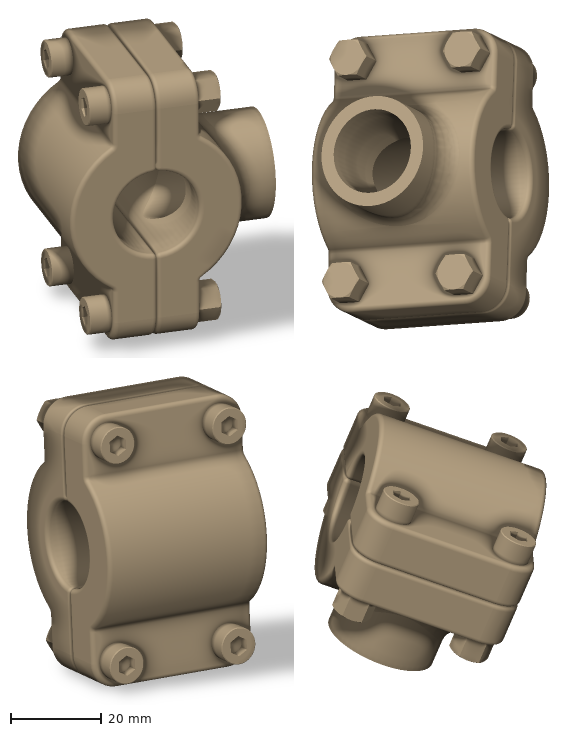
import cadquery as cq
import math

CLAMP_WIDTH = 40.0
BOLT_SPACING_Z = 50.6
CORNER_RADIUS = 6.0
FLANGE_THICKNESS = 10.0
BORE_DIAMETER = 20.0
EDGE_FILLET = 1.0

TUBE_DIAMETER = 25.0
TUBE_BORE_DIAMETER = 19.0
TUBE_END = 30.0
TUBE_ROOT_FILLET = 4.0

BOLT_DIAMETER = 5.0
BOLT_HOLE_DIAMETER = 5.5
HEAD_DIAMETER = 8.5
HEAD_HEIGHT = 5.0
HEAD_CHAMFER = 0.2
SOCKET_FLATS = 4.0
SOCKET_DEPTH = 2.5
SOCKET_TIP_ANGLE = 120

NUT_FLATS = 8.0
NUT_HEIGHT = 5.5
NUT_CHAMFER_ANGLE = 30

TURN_ABOUT_X = -0.57
TURN_ABOUT_Y = -2.3
TURN_ABOUT_Z = 1.7

BARREL_RADIUS = CLAMP_WIDTH / 2
FLANGE_HEIGHT = BOLT_SPACING_Z + 2 * CORNER_RADIUS
BOLT_SPACING_X = CLAMP_WIDTH - 2 * CORNER_RADIUS
HEX_CORNERS = 2 / math.sqrt(3)
HEX_HALF_STEP = 30
SELECT_MARGIN = 0.65
BOLT_POSITIONS = [
    (x, z)
    for x in (-BOLT_SPACING_X / 2, BOLT_SPACING_X / 2)
    for z in (-BOLT_SPACING_Z / 2, BOLT_SPACING_Z / 2)
]


def cylinder_along_y(diameter, start, end):
    return cq.Workplane("XZ", origin=(0, start, 0)).circle(diameter / 2).extrude(start - end)


def hex_prism_along_y(flats, start, end):
    """Hexagonal prism with two of its corners pointing along X."""
    return cq.Workplane("XZ", origin=(0, start, 0)).polygon(6, flats * HEX_CORNERS).extrude(start - end)


def cylinder_along_x(diameter):
    return cq.Workplane("YZ").circle(diameter / 2).extrude(CLAMP_WIDTH / 2, both=True)


def clamp_half():
    """Half clamp on the +Y side of the split plane, without bolt holes, its edges rounded."""
    flange = (
        cq.Workplane("XY")
        .box(CLAMP_WIDTH, FLANGE_THICKNESS, FLANGE_HEIGHT, centered=(True, False, True))
        .edges("|Y").fillet(CORNER_RADIUS)
    )
    split_side = cq.Workplane("XY").box(
        CLAMP_WIDTH, BARREL_RADIUS, CLAMP_WIDTH, centered=(True, False, True))
    half_barrel = cylinder_along_x(CLAMP_WIDTH).intersect(split_side)
    half = flange.union(half_barrel)

    root_lines = cq.selectors.BoxSelector(
        (-SELECT_MARGIN, FLANGE_THICKNESS - SELECT_MARGIN, -BARREL_RADIUS),
        (SELECT_MARGIN, FLANGE_THICKNESS + SELECT_MARGIN, BARREL_RADIUS),
    )
    half = half.edges(root_lines).fillet(EDGE_FILLET)

    half = half.cut(cylinder_along_x(BORE_DIAMETER))
    return half.faces("<X or >X or <Y").edges().fillet(EDGE_FILLET)


def add_tube(half):
    """Join the branch tube to the barrel and open it into the bore."""
    tube = cylinder_along_y(TUBE_DIAMETER, FLANGE_THICKNESS, TUBE_END)
    half = half.union(tube)
    tube_root = cq.selectors.BoxSelector(
        (-SELECT_MARGIN, FLANGE_THICKNESS, -SELECT_MARGIN),
        (SELECT_MARGIN, BARREL_RADIUS, SELECT_MARGIN),
    )
    half = half.edges(tube_root).fillet(TUBE_ROOT_FILLET)
    return half.cut(cylinder_along_y(TUBE_BORE_DIAMETER, 0, TUBE_END))


def drill_bolt_holes(half):
    hole = cylinder_along_y(BOLT_HOLE_DIAMETER, -FLANGE_THICKNESS, FLANGE_THICKNESS)
    for x, z in BOLT_POSITIONS:
        half = half.cut(hole.translate((x, 0, z)))
    return half


def socket_bolt():
    """Socket head cap screw along Y: head on the -Y flange face, shank end flush with the nut."""
    head_top = -FLANGE_THICKNESS - HEAD_HEIGHT
    head = cylinder_along_y(HEAD_DIAMETER, head_top, -FLANGE_THICKNESS)
    head = head.faces("<Y").edges().chamfer(HEAD_CHAMFER)
    shank = cylinder_along_y(BOLT_DIAMETER, -FLANGE_THICKNESS, FLANGE_THICKNESS + NUT_HEIGHT)

    socket_floor = head_top + SOCKET_DEPTH
    socket = hex_prism_along_y(SOCKET_FLATS, head_top, socket_floor)
    socket = socket.rotate((0, 0, 0), (0, 1, 0), HEX_HALF_STEP)
    tip_radius = SOCKET_FLATS / 2
    tip_depth = tip_radius / math.tan(math.radians(SOCKET_TIP_ANGLE / 2))
    tip = cq.Workplane(cq.Solid.makeCone(
        tip_radius, 0, tip_depth, cq.Vector(0, socket_floor, 0), cq.Vector(0, 1, 0)))
    return head.union(shank).cut(socket).cut(tip)


def hex_nut():
    """Nut on the +Y flange face, its outer corners bevelled by a cone."""
    outer_face = FLANGE_THICKNESS + NUT_HEIGHT
    nut = hex_prism_along_y(NUT_FLATS, FLANGE_THICKNESS, outer_face)
    corner_radius = NUT_FLATS * HEX_CORNERS / 2
    bevel_depth = (corner_radius - NUT_FLATS / 2) * math.tan(math.radians(NUT_CHAMFER_ANGLE))
    bevel = cylinder_along_y(2 * corner_radius, FLANGE_THICKNESS, outer_face)
    bevel = bevel.faces(">Y").edges().chamfer(bevel_depth, corner_radius - NUT_FLATS / 2)
    return nut.intersect(bevel).cut(cylinder_along_y(BOLT_DIAMETER, FLANGE_THICKNESS, outer_face))


def turned(body):
    """Turn a body about the bore centre into its final attitude."""
    origin = (0, 0, 0)
    body = body.rotate(origin, (1, 0, 0), TURN_ABOUT_X)
    body = body.rotate(origin, (0, 1, 0), TURN_ABOUT_Y)
    return body.rotate(origin, (0, 0, 1), TURN_ABOUT_Z)


plain_half = clamp_half()
tube_half = turned(drill_bolt_holes(add_tube(plain_half)))
cap_half = turned(drill_bolt_holes(plain_half.mirror("XZ")))
bolts = [turned(socket_bolt().translate((x, 0, z))) for x, z in BOLT_POSITIONS]
nuts = [turned(hex_nut().translate((x, 0, z))) for x, z in BOLT_POSITIONS]

result = cq.Compound.makeCompound([
    tube_half.val(),
    cap_half.val(),
    *[bolt.val() for bolt in bolts],
    *[nut.val() for nut in nuts],
])